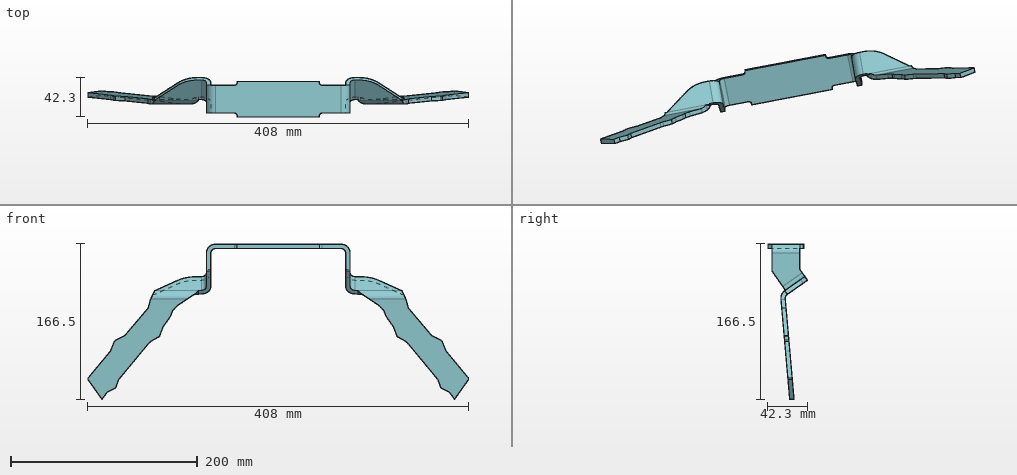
import cadquery as cq
import math

THICKNESS = 5.0
INNER_RADIUS = 5.0
OUTER_RADIUS = INNER_RADIUS + THICKNESS

HALF_LENGTH = 204.0
HEIGHT = 166.5

WALL_OUTER_X = 77.0
WALL_INNER_X = WALL_OUTER_X - THICKNESS
PLATE_END_X = WALL_OUTER_X - OUTER_RADIUS
STRIP_HALF_WIDTH = 15.0
TAB_HALF_WIDTH = 19.0
TAB_HALF_LENGTH = 44.0
TAB_FILLET = 3.0

WING_SLOPE = math.radians(35)
BACK_Y = 23.3
BACK_Z = -39.0
NECK_WIDTH = 25.7
NECK_END_X = WALL_INNER_X + OUTER_RADIUS
WING_LENGTH = 26.5

CREST_START = (88.0, 0)
CREST_MIDDLE = (97.5, 1.5)
CREST_END = (106.0, 5.7)

LEG_LEAN = math.radians(5)
BEND_OUTER_X = 132.7
BEND_INNER_X = 85.8
ABOVE_BEND_Z = -45.0

LEG_OUTER_EDGE = [
    (BEND_OUTER_X, ABOVE_BEND_Z), (BEND_OUTER_X, -50.0), (137.2, -59.5), (139.5, -68.5),
    (164.5, -98.0), (174.5, -103.0), (176.0, -104.5), (180.0, -114.8), (HALF_LENGTH, -143.8),
]
LEG_TIP = [(HALF_LENGTH, -145.5), (189.0, -HEIGHT)]
LEG_INNER_EDGE = [
    (183.5, -159.0), (174.5, -154.5), (171.0, -145.5), (139.5, -107.5), (137.0, -104.5), (127.5, -99.2),
    (123.5, -88.5), (115.5, -77.5), (113.0, -71.5), (108.2, -66.0), (95.5, -57.5), (90.0, -54.0),
    (BEND_INNER_X, -50.2), (BEND_INNER_X, ABOVE_BEND_Z),
]


def on_slope(along, above):
    """Y, Z of a point given by its distance down the slope and its height over the wing underside."""
    y = BACK_Y - along * math.cos(WING_SLOPE) - above * math.sin(WING_SLOPE)
    z = BACK_Z - along * math.sin(WING_SLOPE) + above * math.cos(WING_SLOPE)
    return (y, z)


def top_plate():
    """Plate across the top, wider in the middle, with filleted steps."""
    strip = cq.Workplane("XY").rect(2 * PLATE_END_X, 2 * STRIP_HALF_WIDTH).extrude(-THICKNESS)
    tab = cq.Workplane("XY").rect(2 * TAB_HALF_LENGTH, 2 * TAB_HALF_WIDTH).extrude(-THICKNESS)
    reach_x = TAB_HALF_LENGTH + TAB_FILLET
    reach_y = (STRIP_HALF_WIDTH + TAB_HALF_WIDTH) / 2
    step_corners = cq.selectors.BoxSelector((-reach_x, -reach_y, -THICKNESS), (reach_x, reach_y, 0))
    return strip.union(tab).edges("|Z").edges(step_corners).fillet(TAB_FILLET)


def wall():
    """Bend at the end of the top plate and the upright wall down to the slanted neck."""
    sheet = (
        cq.Workplane("XZ")
        .moveTo(PLATE_END_X, 0)
        .radiusArc((WALL_OUTER_X, -OUTER_RADIUS), OUTER_RADIUS)
        .lineTo(WALL_OUTER_X, -HEIGHT)
        .lineTo(WALL_INNER_X, -HEIGHT)
        .lineTo(WALL_INNER_X, -OUTER_RADIUS)
        .radiusArc((PLATE_END_X, -THICKNESS), -INNER_RADIUS)
        .close()
        .extrude(TAB_HALF_WIDTH, both=True)
    )

    def edge_turn(along, edge_y):
        flat_y = on_slope(along, 0)[0]
        return on_slope(along, (flat_y - edge_y) / math.sin(WING_SLOPE))

    outline = (
        cq.Workplane("YZ")
        .polyline([
            (STRIP_HALF_WIDTH, 0),
            edge_turn(0, STRIP_HALF_WIDTH),
            on_slope(0, OUTER_RADIUS),
            on_slope(NECK_WIDTH, OUTER_RADIUS),
            edge_turn(NECK_WIDTH, -STRIP_HALF_WIDTH),
            (-STRIP_HALF_WIDTH, 0),
        ])
        .close()
        .extrude(HALF_LENGTH)
    )
    return sheet.intersect(outline)


def neck():
    """Quarter bend from the wall into the wing, its axis running down the slope."""
    up_slope = (0, math.cos(WING_SLOPE), math.sin(WING_SLOPE))
    section = cq.Plane(origin=(0, BACK_Y, BACK_Z), xDir=(1, 0, 0), normal=up_slope)
    return (
        cq.Workplane(section)
        .moveTo(WALL_INNER_X, -OUTER_RADIUS)
        .radiusArc((NECK_END_X, 0), OUTER_RADIUS)
        .lineTo(NECK_END_X, -THICKNESS)
        .radiusArc((WALL_OUTER_X, -OUTER_RADIUS), -INNER_RADIUS)
        .close()
        .extrude(-NECK_WIDTH)
    )


def wing():
    """Flat sloped panel between the neck and the leg bend, cut square to its faces."""
    wing_normal = (0, -math.sin(WING_SLOPE), math.cos(WING_SLOPE))
    underside = cq.Plane(origin=(0, BACK_Y, BACK_Z), xDir=(1, 0, 0), normal=wing_normal)

    def down(x, along):
        return (x, -along)

    return (
        cq.Workplane(underside)
        .moveTo(NECK_END_X, 0)
        .lineTo(*down(*CREST_START))
        .threePointArc(down(*CREST_MIDDLE), down(*CREST_END))
        .lineTo(*down(BEND_OUTER_X, WING_LENGTH))
        .lineTo(*down(BEND_INNER_X, WING_LENGTH))
        .lineTo(*down(BEND_INNER_X, NECK_WIDTH))
        .lineTo(*down(NECK_END_X, NECK_WIDTH))
        .close()
        .extrude(THICKNESS)
    )


def leg():
    """Bend below the wing and the long leaning leg, cut to the leg outline."""
    center_y, center_z = on_slope(WING_LENGTH, -INNER_RADIUS)
    start_angle = math.pi / 2 + WING_SLOPE
    end_angle = math.pi + LEG_LEAN
    middle_angle = (start_angle + end_angle) / 2

    def bend_point(radius, angle):
        return (center_y + radius * math.cos(angle), center_z + radius * math.sin(angle))

    def foot(radius):
        y, z = bend_point(radius, end_angle)
        return (y + HEIGHT * math.sin(LEG_LEAN), z - HEIGHT * math.cos(LEG_LEAN))

    sheet = (
        cq.Workplane("YZ")
        .moveTo(*bend_point(OUTER_RADIUS, start_angle))
        .threePointArc(bend_point(OUTER_RADIUS, middle_angle), bend_point(OUTER_RADIUS, end_angle))
        .lineTo(*foot(OUTER_RADIUS))
        .lineTo(*foot(INNER_RADIUS))
        .lineTo(*bend_point(INNER_RADIUS, end_angle))
        .threePointArc(bend_point(INNER_RADIUS, middle_angle), bend_point(INNER_RADIUS, start_angle))
        .close()
        .extrude(HALF_LENGTH)
    )
    outline = (
        cq.Workplane("XZ")
        .polyline(LEG_OUTER_EDGE + LEG_TIP + LEG_INNER_EDGE)
        .close()
        .extrude(2 * TAB_HALF_WIDTH, both=True)
    )
    return sheet.intersect(outline)


arm = wall().union(neck()).union(wing()).union(leg())
result = top_plate().union(arm).union(arm.mirror("YZ"))